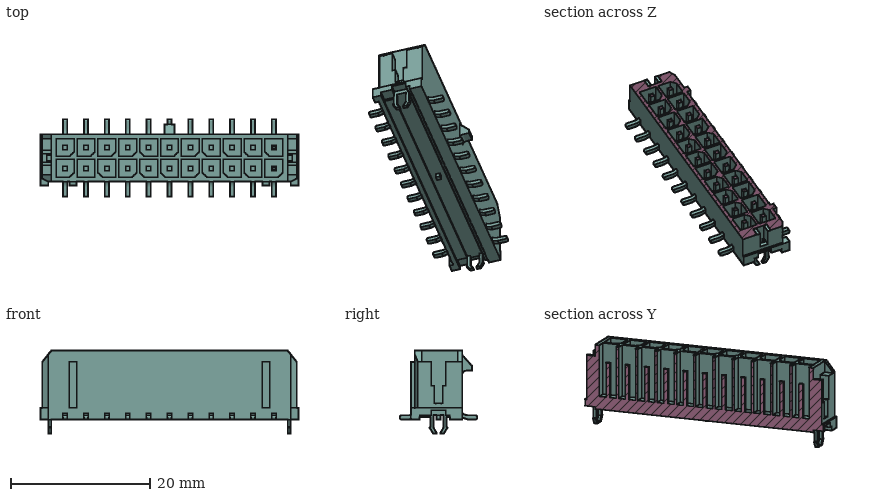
import cadquery as cq


total_length = 37.15
columns = 11
pitch = 3.0
body_width = 6.85
body_height = 9.95

end_x = 18.3
top_end_x = 16.98
shoulder_z = 8.3
corner_cut_x = 0.9
corner_cut_y = 0.45
flange_height = 1.67
front_overhang = 0.55
rail_width = 1.05
rail_centre_x = 13.9

shelf_back_y = 2.75
shelf_front_y = -2.4
wide_slot_width = 2.15
wide_slot_floor = 4.83
narrow_slot_width = 1.23
narrow_slot_floor = 2.35
floor_hole_depth = 0.67
floor_hole_width = 0.75
floor_hole_bottom = 1.67

underside_z = 0.35
channel_z = 0.65
channel_width = 2.3
relief_back_y = 1.65
relief_front_y = -2.7
peg_size = 0.65
clip_pocket_width = 2.08
clip_pocket_top = 1.35

cavity_size = 2.55
cavity_floor = 2.35
key_cut = 0.67
pin_size = 0.65
pin_top = 7.43
pin_tip_taper = 0.15
back_row_keys = ["R", "R", "R", "R", "L", "R", "R", "L", "L", "L", "L"]
front_row_keys = ["R", "", "L", "R", "L", "L", "R", "L", "L", "L", "R"]

leg_span = 11.2
leg_tip_length = 0.25
leg_root_y = 2.85
leg_thickness = 0.65
leg_bend_y = 4.2
leg_rise = 0.25

clip_outer_x = 17.42
clip_bottom = -2.0
barb_top = -1.05
barb_tip = -1.15
prong_outer_y = 1.15
prong_inner_y = 0.7
barb_y = 1.3
prong_end_outer_y = 0.78
prong_end_inner_y = 0.22
latch_width = 1.5
latch_reach = 4.83
latch_top = 9.3
latch_nose_top = 7.73
latch_nose_bottom = 7.02
latch_fillet = 0.6

half_width = body_width / 2
front_y = -half_width - front_overhang
column_x = [(i - (columns - 1) / 2) * pitch for i in range(columns)]


def block(x0, x1, y0, y1, z0, z1):
    """Axis-aligned box between two corners."""
    return cq.Workplane("XY").box(x1 - x0, y1 - y0, z1 - z0, centered=False).translate((x0, y0, z0))


def both_ends(solid):
    """The -X end feature together with its mirror image at the +X end."""
    return solid.union(solid.mirror("YZ"))


def extrude_along_x(sketch, width, x_centre=0):
    """Extrude a closed YZ sketch symmetrically about x_centre."""
    return sketch.extrude(width / 2, both=True).translate((x_centre, 0, 0))


def housing():
    """Solid shell with sloped ends, flange feet and front guide rails."""
    slope_profile = [
        (-end_x, 0), (end_x, 0), (end_x, shoulder_z), (top_end_x, body_height),
        (-top_end_x, body_height), (-end_x, shoulder_z),
    ]
    body = cq.Workplane("XZ").polyline(slope_profile).close().extrude(half_width, both=True)
    corner = (
        cq.Workplane("XY")
        .moveTo(-end_x, -half_width)
        .line(corner_cut_x, 0)
        .line(-corner_cut_x, corner_cut_y)
        .close()
        .extrude(body_height)
    )
    flange = block(-total_length / 2, -clip_outer_x, front_y, half_width, 0, flange_height)
    rail = block(
        -rail_centre_x - rail_width / 2, -rail_centre_x + rail_width / 2,
        front_y, -half_width, flange_height, shoulder_z,
    )
    return body.cut(both_ends(corner)).union(both_ends(flange)).union(both_ends(rail))


def end_recess():
    """Stepped opening in the -X end wall, open to the outside and the top."""
    outside_x = -total_length / 2
    shelf = block(outside_x, -top_end_x, shelf_front_y, shelf_back_y, shoulder_z, body_height)
    wide = block(
        outside_x, -top_end_x, -wide_slot_width / 2, wide_slot_width / 2, wide_slot_floor, body_height
    )
    narrow = block(
        outside_x, -top_end_x, -narrow_slot_width / 2, narrow_slot_width / 2,
        narrow_slot_floor, body_height,
    )
    floor_hole = block(
        -top_end_x - floor_hole_depth, -top_end_x, -floor_hole_width / 2, floor_hole_width / 2,
        floor_hole_bottom, narrow_slot_floor,
    )
    return shelf.union(wide).union(narrow).union(floor_hole)


def underside():
    """Relief under the housing, its central channel and the notches under the flanges."""
    half_length = total_length / 2
    relief = block(-half_length, half_length, relief_front_y, relief_back_y, 0, underside_z)
    channel = block(-half_length, half_length, -channel_width / 2, channel_width / 2, 0, channel_z)
    notch = block(-half_length, -top_end_x, relief_front_y, relief_back_y, 0, channel_z)
    pocket = block(
        -half_length, -clip_outer_x, -clip_pocket_width / 2, clip_pocket_width / 2,
        channel_z, clip_pocket_top,
    )
    return relief.union(channel).union(both_ends(notch)).union(both_ends(pocket))


def cavity(key):
    """Contact cavity centred on its column, with its keyed front corner filled in."""
    space = cq.Workplane("XY").rect(cavity_size, cavity_size).extrude(body_height - cavity_floor)
    if key == "L":
        space = space.edges("|Z and <X and <Y").chamfer(key_cut)
    if key == "R":
        space = space.edges("|Z and >X and <Y").chamfer(key_cut)
    return space.translate((0, 0, cavity_floor))


def pin(tapered):
    """Square contact post on the origin, with an optional bevelled tip."""
    half = pin_size / 2
    post = block(-half, half, -half, half, channel_z, pin_top)
    if tapered:
        post = post.faces(">Z").chamfer(pin_tip_taper)
    return post


def leg():
    """Round-tipped solder leg on the +Y side, curving up into the housing wall."""
    tip_y = leg_span / 2
    tip_start_y = tip_y - leg_tip_length
    profile = (
        cq.Workplane("YZ")
        .moveTo(leg_bend_y, 0)
        .lineTo(tip_start_y, 0)
        .threePointArc((tip_y, leg_thickness / 2), (tip_start_y, leg_thickness))
        .lineTo(leg_bend_y, leg_thickness)
        .tangentArcPoint((half_width, leg_thickness + leg_rise), relative=False)
        .lineTo(leg_root_y, leg_thickness + leg_rise)
        .lineTo(leg_root_y, leg_rise)
        .lineTo(half_width, leg_rise)
        .close()
    )
    return extrude_along_x(profile, pin_size)


def latch():
    """Hooked catch on the back wall, with a concave fillet under its nose."""
    profile = (
        cq.Workplane("YZ")
        .moveTo(half_width, latch_top)
        .lineTo(latch_reach, latch_nose_top)
        .lineTo(latch_reach, latch_nose_bottom)
        .lineTo(half_width + latch_fillet, latch_nose_bottom)
        .tangentArcPoint((half_width, latch_nose_bottom - latch_fillet), relative=False)
        .close()
    )
    return extrude_along_x(profile, latch_width)


def board_clip():
    """Pair of barbed prongs at the -X end, bending towards each other below the board."""
    prong = [
        (prong_outer_y, clip_pocket_top), (prong_outer_y, barb_top), (barb_y, barb_tip),
        (prong_end_outer_y, clip_bottom), (prong_end_inner_y, clip_bottom),
        (prong_inner_y, barb_tip), (prong_inner_y, clip_pocket_top),
    ]
    thickness = clip_outer_x - top_end_x
    x_centre = -(clip_outer_x + top_end_x) / 2
    back_prong = extrude_along_x(cq.Workplane("YZ").polyline(prong).close(), thickness, x_centre)
    return back_prong.union(back_prong.mirror("XZ"))


result = housing().cut(both_ends(end_recess())).cut(underside())

for row_y, row_keys in ((pitch / 2, back_row_keys), (-pitch / 2, front_row_keys)):
    for x, key in zip(column_x, row_keys):
        result = result.cut(cavity(key).translate((x, row_y, 0)))
        result = result.union(pin(x == column_x[-1]).translate((x, row_y, 0)))

back_leg = leg()
front_leg = back_leg.mirror("XZ")
for x in column_x:
    result = result.union(back_leg.translate((x, 0, 0))).union(front_leg.translate((x, 0, 0)))

peg = block(-peg_size / 2, peg_size / 2, -peg_size / 2, peg_size / 2, 0, channel_z)
result = result.union(peg).union(latch()).union(both_ends(board_clip()))